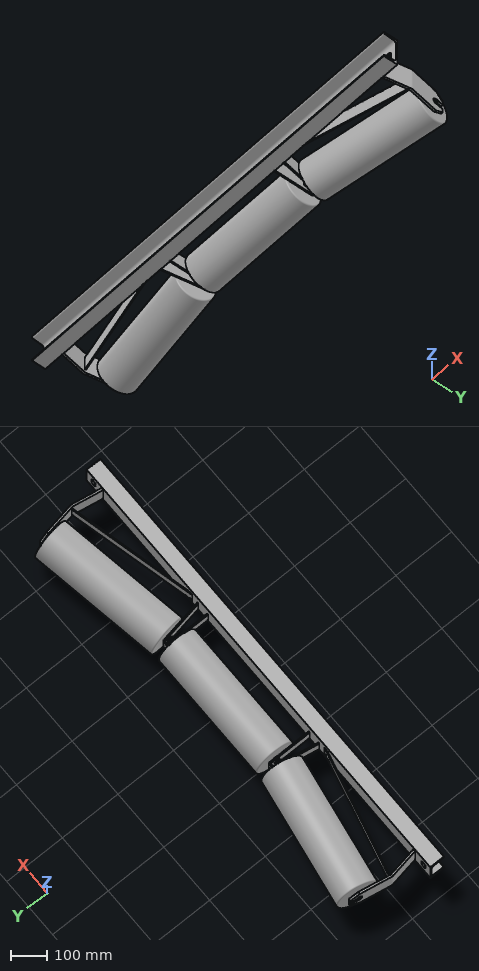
import cadquery as cq
import math

beam_length = 1500.0
beam_depth = 100.0
flange_width = 50.0
web_thickness = 6.0
flange_thickness = 8.5
flange_taper = 0.08
root_radius = 8.5
tip_radius = 5.0
mount_slot_width = 18.0
mount_slot_height = 33.0
mount_slot_inset = 30.0

roller_diameter = 134.0
roller_length = 429.0
roller_rounding = 5.0
shaft_diameter = 18.0
shaft_overhang = 10.0
middle_axis_y = 117.0
middle_axis_z = -20.0
wing_center_x = 460.0
wing_center_y = 159.0
wing_center_z = -11.2
trough_angle = 10.0
forward_tilt = 2.5

outer_thickness = 8.0
outer_width = 81.0
outer_bend_x = 698.0
outer_bend_y = 96.0
outer_bend_radius = 8.0
outer_tip_y = 228.0
tip_chamfer_length = 30.0
tip_chamfer_width = 18.0

inner_thickness = 5.0
inner_top_z = 8.0
inner_bottom_z = -44.0
inner_height = 145.0
upright_leg_x = 222.0
leaning_foot_x = 264.0

brace_thickness = 3.8
brace_top_z = 21.0
brace_bottom_z = -28.0
brace_foot_x = 295.0
brace_head_y = 99.0

select_reach = 0.2
lean = math.tan(math.radians(trough_angle))


def long_edge(y, z):
    """Selects the edge parallel to X through the point (y, z)."""
    return cq.selectors.BoxSelector(
        (-beam_length, y - select_reach, z - select_reach),
        (beam_length, y + select_reach, z + select_reach),
    )


def upright_edge(x, y):
    """Selects the edge parallel to Z through the point (x, y)."""
    return cq.selectors.BoxSelector(
        (x - select_reach, y - select_reach, -beam_depth),
        (x + select_reach, y + select_reach, beam_depth),
    )


def make_beam():
    """Channel with tapered flanges and a mounting slot near each end."""
    half_depth = beam_depth / 2
    taper_rise = flange_taper * flange_width / 2
    tip_z = half_depth - flange_thickness + taper_rise
    root_z = tip_z - flange_taper * (flange_width - web_thickness)
    outline = [
        (0, -half_depth),
        (-flange_width, -half_depth),
        (-flange_width, -tip_z),
        (-web_thickness, -root_z),
        (-web_thickness, root_z),
        (-flange_width, tip_z),
        (-flange_width, half_depth),
        (0, half_depth),
    ]
    beam = (
        cq.Workplane("YZ", origin=(-beam_length / 2, 0, 0))
        .polyline(outline)
        .close()
        .extrude(beam_length)
    )

    for side in (-1, 1):
        beam = beam.edges(long_edge(-web_thickness, side * root_z)).fillet(root_radius)
        beam = beam.edges(long_edge(-flange_width, side * tip_z)).fillet(tip_radius)

    slot_x = beam_length / 2 - mount_slot_inset
    slots = (
        cq.Workplane("XZ", origin=(0, web_thickness, 0))
        .pushPoints([(-slot_x, 0), (slot_x, 0)])
        .slot2D(mount_slot_height, mount_slot_width, 90)
        .extrude(3 * web_thickness)
    )
    return beam.cut(slots)


def middle_frame():
    """Plane at the middle roller's center, normal along its axis."""
    return cq.Plane((0, middle_axis_y, middle_axis_z), xDir=(0, 0, 1), normal=(1, 0, 0))


def wing_frame(side):
    """Plane at a wing roller's center, normal along its axis toward the outer end."""
    trough = math.radians(trough_angle)
    tilt = math.radians(forward_tilt)
    axis = cq.Vector(
        side * math.cos(tilt) * math.cos(trough),
        math.cos(tilt) * math.sin(trough),
        math.sin(tilt),
    )
    up = cq.Vector(-side * math.sin(trough), math.cos(trough), 0)
    center = (side * wing_center_x, wing_center_y, wing_center_z)
    return cq.Plane(center, xDir=up.cross(axis), normal=axis)


def make_shaft(frame):
    """Plain round shaft, centered on the frame."""
    half_length = roller_length / 2 + shaft_overhang
    return (
        cq.Workplane(frame)
        .workplane(offset=-half_length)
        .circle(shaft_diameter / 2)
        .extrude(2 * half_length)
    )


def make_roller(frame):
    """Round-edged drum with its shaft ends, centered on the frame."""
    drum = (
        cq.Workplane(frame)
        .workplane(offset=-roller_length / 2)
        .circle(roller_diameter / 2)
        .extrude(roller_length)
        .edges("%CIRCLE")
        .fillet(roller_rounding)
    )
    return drum.union(make_shaft(frame))


def make_outer_bracket(side):
    """Bent plate standing on the beam, with an open slot for the wing roller's shaft."""
    half = outer_thickness / 2 / math.cos(math.radians(trough_angle))
    foot_x = outer_bend_x - lean * outer_bend_y
    tip_x = outer_bend_x - lean * (outer_tip_y - outer_bend_y)
    centerline = [(foot_x, 0), (outer_bend_x, outer_bend_y), (tip_x, outer_tip_y)]
    inner_face = [(side * (x - half), y) for x, y in centerline]
    outer_face = [(side * (x + half), y) for x, y in reversed(centerline)]
    plate = (
        cq.Workplane("XY", origin=(0, 0, -outer_width / 2))
        .polyline(inner_face + outer_face)
        .close()
        .extrude(outer_width)
    )
    concave_bend = upright_edge(side * (outer_bend_x - half), outer_bend_y)
    convex_bend = upright_edge(side * (outer_bend_x + half), outer_bend_y)
    plate = plate.edges(concave_bend).fillet(outer_bend_radius)
    plate = plate.edges(convex_bend).fillet(outer_bend_radius + outer_thickness)

    half_width = outer_width / 2
    for edge in (-1, 1):
        corner = [
            (outer_tip_y, edge * half_width),
            (outer_tip_y - tip_chamfer_length, edge * half_width),
            (outer_tip_y, edge * (half_width - tip_chamfer_width)),
        ]
        corner_cut = cq.Workplane("YZ").polyline(corner).close().extrude(side * beam_length)
        plate = plate.cut(corner_cut)

    slot = (
        cq.Workplane(wing_frame(side))
        .rect(shaft_diameter, outer_tip_y, centered=(True, False))
        .extrude(roller_length)
    )
    return plate.cut(slot).cut(make_shaft(wing_frame(side)))


def make_inner_bracket(side):
    """Bent strap carrying the middle roller and the inner end of one wing roller."""
    half = inner_thickness / 2
    lean_half = half / math.cos(math.radians(trough_angle))
    under = inner_height - inner_thickness
    outline = [
        (upright_leg_x - half, 0),
        (upright_leg_x - half, inner_height),
        (leaning_foot_x + lean_half - lean * inner_height, inner_height),
        (leaning_foot_x + lean_half, 0),
        (leaning_foot_x - lean_half, 0),
        (leaning_foot_x - lean_half - lean * under, under),
        (upright_leg_x + half, under),
        (upright_leg_x + half, 0),
    ]
    strap = (
        cq.Workplane("XY", origin=(0, 0, inner_bottom_z))
        .polyline([(side * x, y) for x, y in outline])
        .close()
        .extrude(inner_top_z - inner_bottom_z)
    )
    for corner_x, _ in outline[1:3]:
        strap = strap.edges(upright_edge(side * corner_x, inner_height)).fillet(inner_thickness)
    return strap.cut(make_shaft(middle_frame())).cut(make_shaft(wing_frame(side)))


def make_brace(side, outer_bracket):
    """Flat strip trimmed by the beam below and by the outer bracket above."""
    slope = brace_head_y / (outer_bend_x - brace_foot_x)
    half = brace_thickness / 2 * math.sqrt(1 + 1 / slope**2)
    outline = [
        (brace_foot_x - half, 0),
        (brace_foot_x + half, 0),
        (outer_bend_x, brace_head_y - half * slope),
        (outer_bend_x, brace_head_y + half * slope),
    ]
    strip = (
        cq.Workplane("XY", origin=(0, 0, brace_bottom_z))
        .polyline([(side * x, y) for x, y in outline])
        .close()
        .extrude(brace_top_z - brace_bottom_z)
    )
    return strip.cut(outer_bracket)


beam = make_beam()
middle_roller = make_roller(middle_frame())
bodies = [beam.val(), middle_roller.val()]

for side in (-1, 1):
    wing_roller = make_roller(wing_frame(side))
    outer_bracket = make_outer_bracket(side)
    inner_bracket = make_inner_bracket(side)
    brace = make_brace(side, outer_bracket)
    bodies += [wing_roller.val(), outer_bracket.val(), inner_bracket.val(), brace.val()]

result = cq.Compound.makeCompound(bodies)